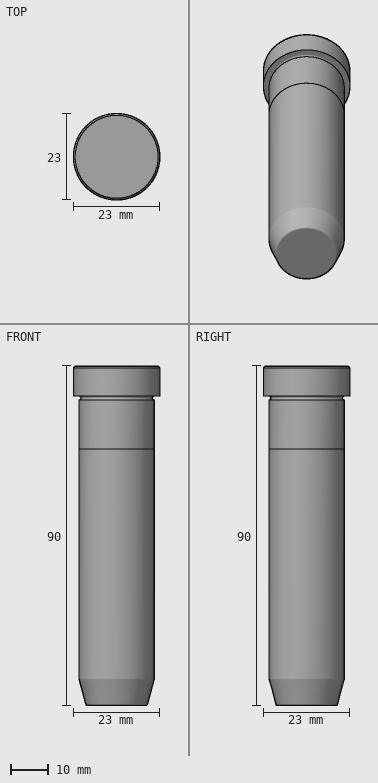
import cadquery as cq
import math

total_length = 90.0
shank_radius = 10.0

head_radius = 11.5
head_height = 8.0
head_chamfer = 0.5
head_underside = total_length - head_height

groove_arc_radius = 0.5
groove_middle = head_underside - groove_arc_radius
groove_bottom = head_underside - 2 * groove_arc_radius

joint_depth = 22.0
joint_level = total_length - joint_depth

taper_height = 7.0
taper_angle = 15.0
tip_fillet = 0.5
tip_radius = shank_radius - taper_height * math.tan(math.radians(taper_angle))


def revolve_about_axis(half_section):
    """Turn a closed half section of the XZ plane about Z, keeping the two groove arcs as separate faces."""
    return half_section.revolve(360, (0, 0), (0, 1), clean=False)


def groove_arc_point(angle):
    """Point (radius, height) on the groove arc; 180 degrees is the deepest point."""
    radians = math.radians(angle)
    return (
        shank_radius + groove_arc_radius * math.cos(radians),
        groove_middle + groove_arc_radius * math.sin(radians),
    )


def make_headed_section():
    """Upper body: upper length of shank, relief groove and chamfered head."""
    half_section = (
        cq.Workplane("XZ")
        .moveTo(0, joint_level)
        .lineTo(shank_radius, joint_level)
        .lineTo(shank_radius, groove_bottom)
        .threePointArc(groove_arc_point(225), groove_arc_point(180))
        .threePointArc(groove_arc_point(135), (shank_radius, head_underside))
        .lineTo(head_radius, head_underside)
        .lineTo(head_radius, total_length - head_chamfer)
        .lineTo(head_radius - head_chamfer, total_length)
        .lineTo(0, total_length)
        .close()
    )
    return revolve_about_axis(half_section)


def make_guide_section():
    """Lower body: long plain shank ending in a taper with a rounded tip edge."""
    half_section = (
        cq.Workplane("XZ")
        .lineTo(tip_radius, 0)
        .lineTo(shank_radius, taper_height)
        .lineTo(shank_radius, joint_level)
        .lineTo(0, joint_level)
        .close()
    )
    return revolve_about_axis(half_section).faces("<Z").edges().fillet(tip_fillet)


headed_section = make_headed_section()
guide_section = make_guide_section()

result = cq.Compound.makeCompound([headed_section.val(), guide_section.val()])